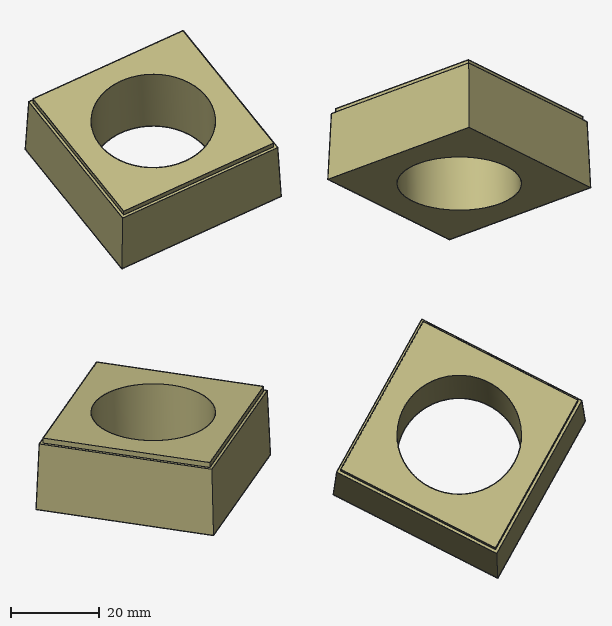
import cadquery as cq

base_side = 42.0
total_height = 17.7
step_height = 1.25
step_side = 39.5
draft_angle = 2.0
bore_diameter = 28.0

body_height = total_height - step_height

body = cq.Workplane("XY").rect(base_side, base_side).extrude(body_height, taper=draft_angle)

step = (
    cq.Workplane("XY")
    .workplane(offset=body_height)
    .rect(step_side, step_side)
    .extrude(step_height)
)

bore = cq.Workplane("XY").circle(bore_diameter / 2).extrude(total_height)

result = body.union(step).cut(bore)